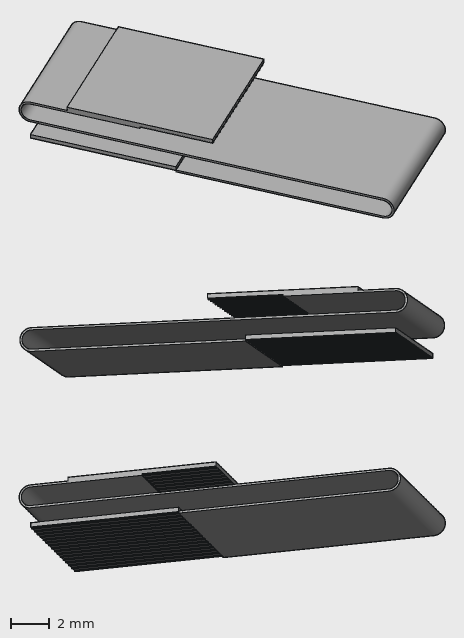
import cadquery as cq

cable_width = 7.5
conductor_thickness = 0.05
film_thickness = 0.035
cable_thickness = conductor_thickness + 2 * film_thickness
fold_radius = 0.625
straight_length = 19.38
upper_run_length = 10.02

stiffener_length = 8.0
stiffener_thickness = 0.2
upper_bared_length = 4.0
conductor_count = 16
conductor_width = 0.1
edge_margin = 0.175
conductor_pitch = (cable_width - 2 * edge_margin) / (conductor_count - 1)

run_pitch = 2 * fold_radius - cable_thickness
middle_bottom = run_pitch
upper_bottom = 2 * run_pitch


def slab(x_start, x_end, z_bottom, z_top, width=cable_width, y_centre=0):
    """Block between two X positions and two heights, centred on y_centre."""
    return (
        cq.Workplane("XY", origin=(x_start, y_centre, z_bottom))
        .box(x_end - x_start, width, z_top - z_bottom, centered=(False, True, False))
    )


def fold(x_centre, z_bottom, side):
    """Half-round cable fold; side is -1 to bulge toward -X and +1 toward +X."""
    inner_radius = fold_radius - cable_thickness
    return (
        cq.Workplane("XZ", origin=(x_centre, 0, z_bottom + fold_radius))
        .moveTo(0, -fold_radius)
        .threePointArc((side * fold_radius, 0), (0, fold_radius))
        .lineTo(0, inner_radius)
        .threePointArc((side * inner_radius, 0), (0, -inner_radius))
        .close()
        .extrude(cable_width / 2, both=True)
    )


def bared_end(x_start, x_end, cable_bottom):
    """Cable stripped from below: the top film with a row of exposed conductors."""
    conductor_bottom = cable_bottom + film_thickness
    conductor_top = conductor_bottom + conductor_thickness
    end = slab(x_start, x_end, conductor_top, cable_bottom + cable_thickness)
    for index in range(conductor_count):
        y_centre = -cable_width / 2 + edge_margin + index * conductor_pitch
        end = end.union(
            slab(x_start, x_end, conductor_bottom, conductor_top, conductor_width, y_centre)
        )
    return end


def stiffener(x_start, cable_bottom):
    """Plate lying on top of a cable run."""
    z_bottom = cable_bottom + cable_thickness
    return slab(x_start, x_start + stiffener_length, z_bottom, z_bottom + stiffener_thickness)


def lower_run():
    """Bottom run, bared along the whole length of its stiffener."""
    cable = slab(stiffener_length, straight_length, 0, cable_thickness)
    return cable.union(bared_end(0, stiffener_length, 0)).union(stiffener(0, 0))


def upper_run():
    """Top run, bared along only the outer part of its stiffener."""
    bared_start = upper_run_length - upper_bared_length
    cable = slab(0, bared_start, upper_bottom, upper_bottom + cable_thickness)
    end = bared_end(bared_start, upper_run_length, upper_bottom)
    plate = stiffener(upper_run_length - stiffener_length, upper_bottom)
    return cable.union(end).union(plate)


middle_run = slab(0, straight_length, middle_bottom, middle_bottom + cable_thickness)
left_fold = fold(0, middle_bottom, -1)
right_fold = fold(straight_length, 0, 1)

result = lower_run().union(right_fold).union(middle_run).union(left_fold).union(upper_run())